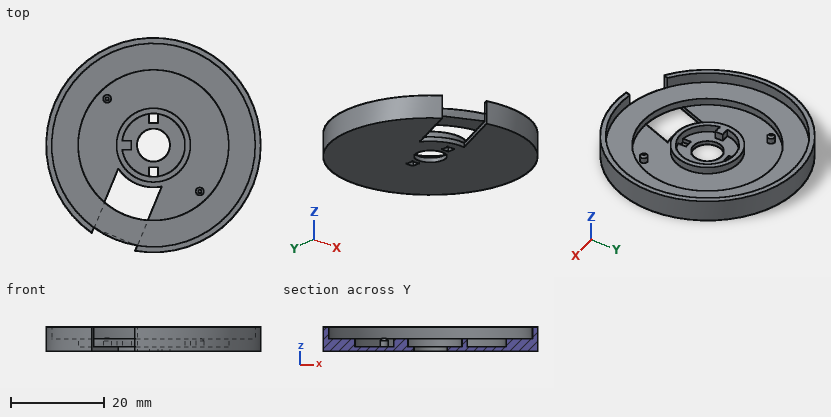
import cadquery as cq
import math

floor_top = 1.0
ledge_top = 2.7
rim_top = 5.2

outer_diameter = 45.9
rim_inner_diameter = 43.5
recess_diameter = 32.2
boss_outer_diameter = 15.8
boss_inner_diameter = 13.5
bore_diameter = 7.0

key_width = 1.9
key_inner_radius = 4.75
key_angle = 180
opening_angles = (90, -90)
boss_wall_middle_radius = (boss_outer_diameter + boss_inner_diameter) / 4

pin_diameter = 1.7
pin_tip_diameter = 0.7
pin_height = 1.8
pin_tip_height = 0.5
pin_circle_radius = 14.0
pin_angles = (135, -45)

slot_width = 10.0
slot_inner_diameter = 18.1
slot_angle = -112.5
slot_reach = outer_diameter


def disc(diameter, bottom, top):
    """Solid cylinder on the Z axis between two heights."""
    return cq.Workplane("XY").workplane(offset=bottom).circle(diameter / 2).extrude(top - bottom)


def make_dish():
    """Floor, raised ledge and outer rim as one stepped dish."""
    dish = disc(outer_diameter, 0, rim_top)
    dish = dish.cut(disc(rim_inner_diameter, ledge_top, rim_top))
    return dish.cut(disc(recess_diameter, floor_top, ledge_top))


def make_boss():
    """Ring around the bore, level with the ledge."""
    ring = disc(boss_outer_diameter, floor_top, ledge_top)
    return ring.cut(disc(boss_inner_diameter, floor_top, ledge_top))


def make_radial_bar(angle, bottom, top):
    """Bar of the key's width, from the key's inner end to the middle of the boss wall."""
    length = boss_wall_middle_radius - key_inner_radius
    bar = cq.Workplane("XY").box(length, key_width, top - bottom, centered=(False, True, False))
    return bar.translate((key_inner_radius, 0, bottom)).rotate((0, 0, 0), (0, 0, 1), angle)


def make_floor_opening(angle):
    """Nearly square cutter through the floor, ending flush with the inner wall of the boss."""
    return make_radial_bar(angle, 0, floor_top).intersect(disc(boss_inner_diameter, 0, floor_top))


def make_pin(angle):
    """Pin standing on the floor, with a tapered tip."""
    radius = pin_diameter / 2
    tip_radius = pin_tip_diameter / 2
    profile = (
        cq.Workplane("XZ")
        .lineTo(radius, 0)
        .lineTo(radius, pin_height - pin_tip_height)
        .lineTo(tip_radius, pin_height)
        .lineTo(0, pin_height)
        .close()
    )
    pin = profile.revolve(360, (0, 0), (0, 1))
    x = pin_circle_radius * math.cos(math.radians(angle))
    y = pin_circle_radius * math.sin(math.radians(angle))
    return pin.translate((x, y, floor_top))


def make_slot(inner_diameter, height):
    """Straight-sided slot cutter from a round inner end out past the rim."""
    slot = cq.Workplane("XY").box(slot_reach, slot_width, height, centered=(False, True, False))
    slot = slot.rotate((0, 0, 0), (0, 0, 1), slot_angle)
    return slot.cut(disc(inner_diameter, 0, height))


def make_lip_cutter():
    """Cutter that shapes the ledge edge in the slot: straight at its foot, round at its top."""
    half_width = slot_width / 2
    rim_inner_radius = rim_inner_diameter / 2
    foot_distance = math.sqrt(rim_inner_radius**2 - half_width**2)
    foot = (
        cq.Workplane("XY")
        .moveTo(foot_distance, -half_width)
        .lineTo(foot_distance, half_width)
        .lineTo(slot_reach, half_width)
        .lineTo(slot_reach, -half_width)
        .close()
    )
    cutter = (
        foot.workplane(offset=ledge_top - floor_top)
        .moveTo(foot_distance, -half_width)
        .threePointArc((rim_inner_radius, 0), (foot_distance, half_width))
        .lineTo(slot_reach, half_width)
        .lineTo(slot_reach, -half_width)
        .close()
        .loft(ruled=True)
    )
    return cutter.translate((0, 0, floor_top)).rotate((0, 0, 0), (0, 0, 1), slot_angle)


result = make_dish().union(make_boss())
result = result.union(make_radial_bar(key_angle, floor_top, ledge_top))
for pin_angle in pin_angles:
    result = result.union(make_pin(pin_angle))
result = result.cut(disc(bore_diameter, 0, floor_top))
for opening_angle in opening_angles:
    result = result.cut(make_floor_opening(opening_angle))
result = result.cut(make_slot(slot_inner_diameter, floor_top))
result = result.cut(make_slot(rim_inner_diameter, rim_top))
result = result.cut(make_lip_cutter())